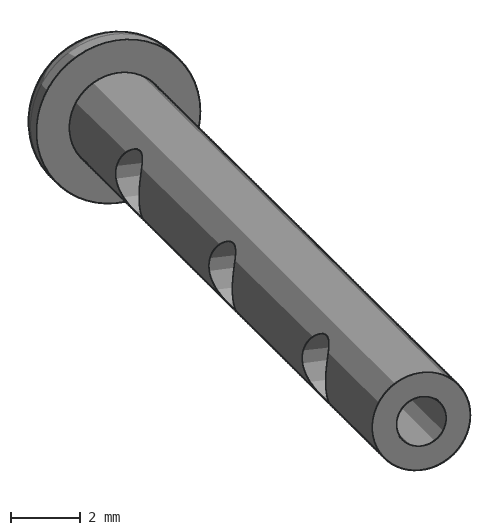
import cadquery as cq

total_length = 27.5
head_diameter = 5.0
head_thickness = 1.5
head_rounding = 1.0
shank_diameter = 3.0

hole_diameter = 2.0
hole_count = 3
hole_spacing = 8.0
last_hole_to_tip = 5.0

bore_diameter = 1.5


def make_head():
    """Disc whose outer face is rounded over, leaving a flat in the middle."""
    disc = cq.Workplane("YZ").circle(head_diameter / 2).extrude(head_thickness)
    return disc.faces("<X").edges().fillet(head_rounding)


def make_shank():
    """Plain cylinder from the back of the head to the tip."""
    return (
        cq.Workplane("YZ", origin=(head_thickness, 0, 0))
        .circle(shank_diameter / 2)
        .extrude(total_length - head_thickness)
    )


def make_cross_holes():
    """Row of cutters, counted back from the tip."""
    last_hole_x = total_length - last_hole_to_tip
    centres = [(last_hole_x - i * hole_spacing, 0) for i in range(hole_count)]
    return (
        cq.Workplane("XZ")
        .pushPoints(centres)
        .circle(hole_diameter / 2)
        .extrude(shank_diameter, both=True)
    )


def make_tip_bore():
    """Cutter along the shank axis, from the last cross hole's centre to the tip."""
    return (
        cq.Workplane("YZ", origin=(total_length - last_hole_to_tip, 0, 0))
        .circle(bore_diameter / 2)
        .extrude(last_hole_to_tip)
    )


result = make_head().union(make_shank()).cut(make_cross_holes()).cut(make_tip_bore())